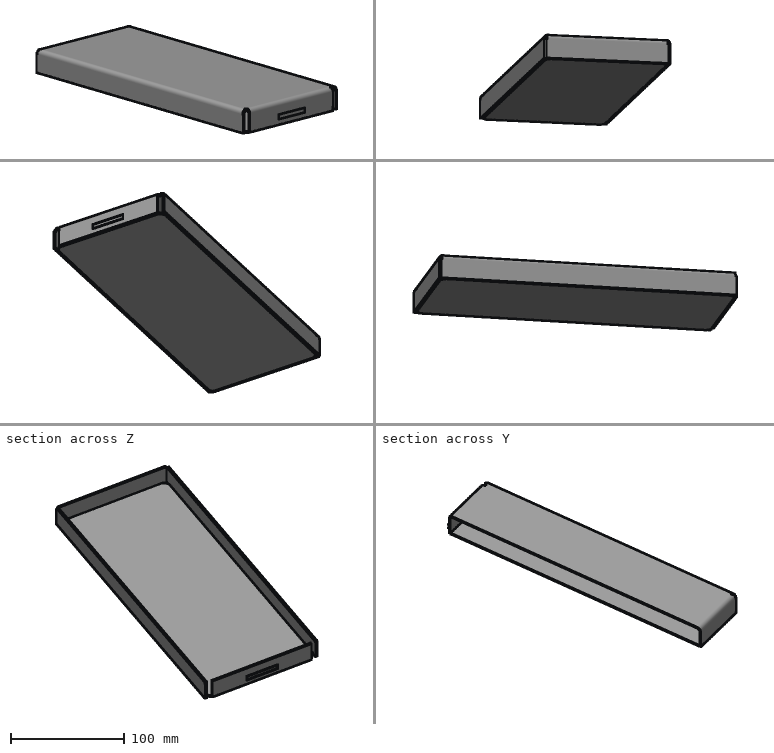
import cadquery as cq

overall_length = 270.0
width = 114.0
height = 22.1
sheet = 2.0
bend_radius = 4.0
plate_drop = 0.8
plate_inset = 2.0
plate_corner_cut = 4.0
pad_projection = 0.8
pad_length = 31.3
pad_height = 4.3
pad_center_z = 8.5

bend_relief = 0.8
long_flange_width = 265.7
left_flange_width = 110.2
right_flange_width = 100.5

lid_length = overall_length - pad_projection
half_length = overall_length / 2
left_face = -half_length
right_face = half_length - pad_projection
center_x = (left_face + right_face) / 2
wall_height = height - bend_radius - plate_drop
panel_length = lid_length - 2 * bend_radius
panel_width = width - 2 * bend_radius


def flange(reach, wall_width, bend_width, angle):
    """Make a bend and wall whose outer face lies at the given reach from the lid center."""
    wall = cq.Workplane("XY").box(sheet, wall_width, wall_height, centered=(False, True, False))
    wall = wall.translate((reach - sheet, 0, plate_drop))
    axis_x = reach - bend_radius
    axis_z = height - bend_radius
    ring = (
        cq.Workplane("XZ", origin=(axis_x, 0, axis_z))
        .circle(bend_radius)
        .circle(bend_radius - sheet)
        .extrude(bend_width / 2, both=True)
    )
    quadrant = (
        cq.Workplane("XY")
        .box(bend_radius, bend_width, bend_radius, centered=(False, True, False))
        .translate((axis_x, 0, axis_z))
    )
    bend = ring.intersect(quadrant)
    return wall.union(bend).rotate((0, 0, 0), (0, 0, 1), angle).translate((center_x, 0, 0))


result = (
    cq.Workplane("XY")
    .box(panel_length, panel_width, sheet, centered=(True, True, False))
    .translate((center_x, 0, height - sheet))
)

long_bend_width = long_flange_width - 2 * bend_relief
for angle in (90, -90):
    result = result.union(flange(width / 2, long_flange_width, long_bend_width, angle))

left_bend_width = left_flange_width - 2 * bend_relief
result = result.union(flange(lid_length / 2, left_flange_width, left_bend_width, 180))
result = result.union(flange(lid_length / 2, right_flange_width, right_flange_width, 0))

pad = (
    cq.Workplane("XY")
    .box(pad_projection, pad_length, pad_height, centered=(False, True, True))
    .translate((right_face, 0, pad_center_z))
)
result = result.union(pad)

plate_length = lid_length - 2 * plate_inset
plate_width = width - 2 * plate_inset
plate = (
    cq.Workplane("XY")
    .box(plate_length, plate_width, sheet, centered=(True, True, False))
    .edges("|Z")
    .chamfer(plate_corner_cut)
    .translate((center_x, 0, 0))
)
result = result.union(plate)